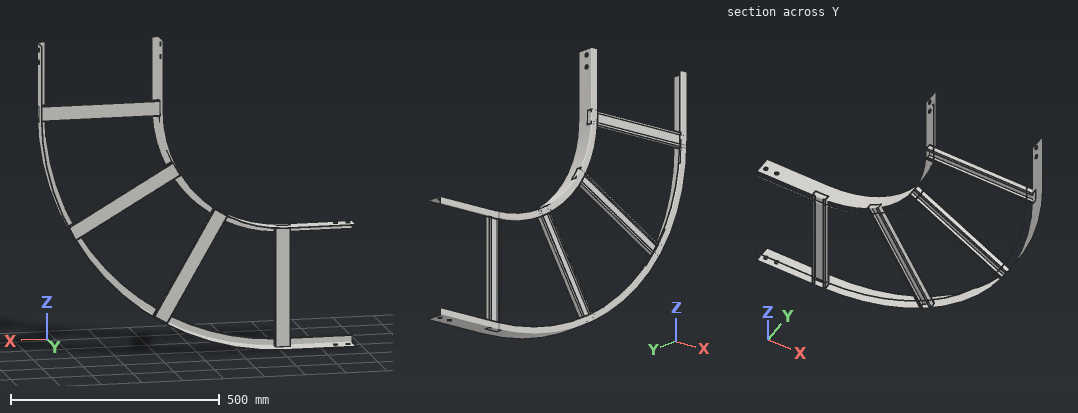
import cadquery as cq
import math

HALFWAY = math.sqrt(0.5)

overall = 773.0
straight = 173.0
bend_x = straight
bend_z = overall - straight
inner_radius = 300.0
outer_radius = overall - straight

rail_depth = 50.0
flange_width = 20.0
lip_depth = 7.0
sheet = 1.5
fold_radius = 1.9

rung_width = 37.0
rung_depth = 15.5
rung_lip = 7.0
rung_front = 3.0
rung_angles = (0, 30, 60, 90)

hole_diameter = 10.0
hole_spacing = 30.0
hole_end_distance = 15.0
hole_from_front = 20.0
holes_per_end = 2


def rail_path(radius):
    """Straight run, quarter bend and straight run, tangent to each other."""
    diagonal = radius * HALFWAY
    return (
        cq.Workplane("XZ")
        .moveTo(0, bend_z - radius)
        .lineTo(bend_x, bend_z - radius)
        .threePointArc((bend_x + diagonal, bend_z - diagonal), (bend_x + radius, bend_z))
        .lineTo(bend_x + radius, overall)
    )


def rail_section(radius, flange_direction):
    """Closed section of the folded sheet in the YZ plane at the -X end of a rail.

    flange_direction is +1 for a flange pointing away from the bend centre, -1 towards it.
    """
    def point(y, across):
        return y, bend_z - radius - flange_direction * across

    inside = fold_radius - sheet
    far_fold = flange_width - fold_radius
    outer_bow = fold_radius * (1 - HALFWAY)
    inner_bow = fold_radius - inside * HALFWAY
    return (
        cq.Workplane("YZ")
        .moveTo(*point(rail_depth, 0))
        .lineTo(*point(fold_radius, 0))
        .threePointArc(point(outer_bow, outer_bow), point(0, fold_radius))
        .lineTo(*point(0, far_fold))
        .threePointArc(point(outer_bow, flange_width - outer_bow), point(fold_radius, flange_width))
        .lineTo(*point(lip_depth, flange_width))
        .lineTo(*point(lip_depth, flange_width - sheet))
        .lineTo(*point(fold_radius, flange_width - sheet))
        .threePointArc(point(inner_bow, flange_width - inner_bow), point(sheet, far_fold))
        .lineTo(*point(sheet, fold_radius))
        .threePointArc(point(inner_bow, inner_bow), point(fold_radius, sheet))
        .lineTo(*point(rail_depth, sheet))
        .close()
    )


def rail(radius, flange_direction):
    """One side rail, its section swept along the bend."""
    return rail_section(radius, flange_direction).sweep(rail_path(radius))


def rung(angle):
    """Lipped channel running radially; angle is measured from -Z towards +X."""
    start = inner_radius + sheet / 2
    length = outer_radius - sheet / 2 - start

    half = rung_width / 2
    mouth = half - rung_lip
    channel = (
        cq.Workplane("XY")
        .workplane(offset=-start - length)
        .moveTo(-mouth, rung_front)
        .lineTo(-half, rung_front)
        .lineTo(-half, rung_front + rung_depth)
        .lineTo(half, rung_front + rung_depth)
        .lineTo(half, rung_front)
        .lineTo(mouth, rung_front)
        .lineTo(mouth, rung_front + sheet)
        .lineTo(half - sheet, rung_front + sheet)
        .lineTo(half - sheet, rung_front + rung_depth - sheet)
        .lineTo(-half + sheet, rung_front + rung_depth - sheet)
        .lineTo(-half + sheet, rung_front + sheet)
        .lineTo(-mouth, rung_front + sheet)
        .close()
        .extrude(length)
    )
    turned = channel.rotate((0, 0, 0), (0, 1, 0), -angle)
    return turned.translate((bend_x, 0, bend_z))


def splice_holes():
    """Drills through both webs at the -X end (along Z) and at the +Z end (along X)."""
    distances = [hole_end_distance + i * hole_spacing for i in range(holes_per_end)]
    along_z = (
        cq.Workplane("XY")
        .pushPoints([(d, hole_from_front) for d in distances])
        .circle(hole_diameter / 2)
        .extrude(bend_z)
    )
    along_x = (
        cq.Workplane("YZ")
        .workplane(offset=bend_x)
        .pushPoints([(hole_from_front, overall - d) for d in distances])
        .circle(hole_diameter / 2)
        .extrude(overall - bend_x)
    )
    return along_z.union(along_x)


ladder = rail(inner_radius, 1).union(rail(outer_radius, -1))
for rung_angle in rung_angles:
    ladder = ladder.union(rung(rung_angle))

result = ladder.cut(splice_holes())